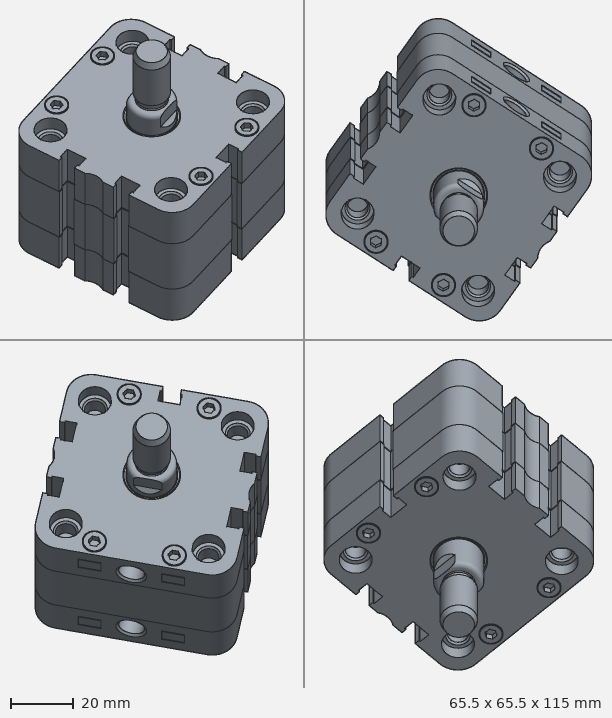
import cadquery as cq
import math


HOUSING_WIDTH = 65.5
CORNER_RADIUS = 8.0
BARREL_HEIGHT = 21.0
CAP_HEIGHT = 14.5
HALF_WIDTH = HOUSING_WIDTH / 2
CAP_BASE = BARREL_HEIGHT / 2
CAP_TOP = CAP_BASE + CAP_HEIGHT

SLOT_OFFSET = 10.5
SLOT_LIP = 1.7
CAP_SLOT_OPENING = 6.0
CAP_SLOT_WIDTH = 7.1
CAP_SLOT_DEPTH = 5.5
BARREL_SLOT_OPENING = 5.5
BARREL_SLOT_WIDTH = 6.8
BARREL_SLOT_DEPTH = 5.2
GROOVE_WIDTH = 6.9
GROOVE_DEPTH = 1.0

MOUNT_OFFSET = 23.2
MOUNT_BORE_DIA = 10.5
MOUNT_BORE_DEPTH = 5.1
MOUNT_CHAMFER_DIA = 7.9
MOUNT_HOLE_DIA = 6.7
MOUNT_HOLE_DEPTH = 11.5

SCREW_X = 27.8
SCREW_Y = 13.0
SCREW_RECESS_DIA = 7.7
SCREW_FACE_DIA = 7.1
HEX_FLATS = 3.5
HEX_DEPTH = 2.3

PORT_DROP = 8.0
PORT_MOUTH_DIA = 10.0
PORT_DIA = 8.5
PORT_DEPTH = 9.2
CHANNEL_DIA = 3.5
CHANNEL_SHIFT = 2.0
CHANNEL_LENGTH = 4.6

LABEL_OFFSET = 13.6
LABEL_DROP = 7.1
LABEL_WIDTH = 7.4
LABEL_HEIGHT = 4.8
LABEL_DEPTH = 0.2

ROD_DIA = 16.0
UPPER_ROD_REACH = 30.0
LOWER_ROD_REACH = 35.0
ROD_ROUND = 1.6
STUD_DIA = 12.0
NECK_DIA = 10.0
STUD_LENGTH = 22.0
NECK_LENGTH = 2.3
NECK_FLARE = 0.3
STUD_RUNOUT = 0.7
TIP_LENGTH = 2.4
FLAT_WIDTH = 13.0
FLAT_LENGTH = 5.3

OPENING_MOUTH_DIA = 18.4
OPENING_DIA = 17.7
CLEARANCE_DIA = 16.6
CLEARANCE_DEPTH = 0.7


def cone(large_dia, small_dia, centre, direction):
    """45-degree countersink that narrows along `direction`."""
    height = (large_dia - small_dia) / 2
    return cq.Solid.makeCone(large_dia / 2, small_dia / 2, height, cq.Vector(*centre), cq.Vector(*direction))


def cylinder(dia, length, centre, direction):
    return cq.Solid.makeCylinder(dia / 2, length, cq.Vector(*centre), cq.Vector(*direction))


def t_slot(opening, width, depth, base, height):
    """Cutter for a slot entering the +Y side at x = 0."""
    profile = [
        (-opening / 2, HALF_WIDTH),
        (-opening / 2, HALF_WIDTH - SLOT_LIP),
        (-width / 2, HALF_WIDTH - SLOT_LIP),
        (-width / 2, HALF_WIDTH - depth),
        (width / 2, HALF_WIDTH - depth),
        (width / 2, HALF_WIDTH - SLOT_LIP),
        (opening / 2, HALF_WIDTH - SLOT_LIP),
        (opening / 2, HALF_WIDTH),
    ]
    return cq.Workplane("XY", origin=(0, 0, base)).polyline(profile).close().extrude(height)


def finger_groove(base, height):
    """Cutter for the shallow round groove in the middle of the +Y side."""
    return (
        cq.Workplane("XY", origin=(0, 0, base))
        .moveTo(-GROOVE_WIDTH / 2, HALF_WIDTH)
        .threePointArc((0, HALF_WIDTH - GROOVE_DEPTH), (GROOVE_WIDTH / 2, HALF_WIDTH))
        .close()
        .extrude(height)
    )


def housing_block(base, height, slot_opening, slot_width, slot_depth):
    """Rounded square section with T-slots on +Y, -Y and +X, and the central bore for the rod."""
    block = (
        cq.Workplane("XY", origin=(0, 0, base))
        .rect(HOUSING_WIDTH, HOUSING_WIDTH)
        .extrude(height)
        .edges("|Z")
        .fillet(CORNER_RADIUS)
    )
    slot = t_slot(slot_opening, slot_width, slot_depth, base, height)
    side_cut = finger_groove(base, height)
    for offset in (-SLOT_OFFSET, SLOT_OFFSET):
        side_cut = side_cut.union(slot.translate((offset, 0, 0)))
    block = block.cut(side_cut).cut(side_cut.mirror("XZ"))
    block = block.cut(slot.rotate((0, 0, 0), (0, 0, 1), -90))
    return block.cut(cq.Workplane(cylinder(ROD_DIA, height, (0, 0, base), (0, 0, 1))))


def mounting_hole(x, y):
    """Blind counterbored hole with a countersunk edge."""
    down = (0, 0, -1)
    bore_floor = (x, y, CAP_TOP - MOUNT_BORE_DEPTH)
    hole = cylinder(MOUNT_BORE_DIA, MOUNT_BORE_DEPTH, (x, y, CAP_TOP), down)
    hole = hole.fuse(cone(MOUNT_CHAMFER_DIA, MOUNT_HOLE_DIA, bore_floor, down))
    return hole.fuse(cylinder(MOUNT_HOLE_DIA, MOUNT_HOLE_DEPTH, (x, y, CAP_TOP), down))


def screw_head(x, y):
    """Cutters for the bevelled ring around a flush screw head and for its hexagon socket."""
    face = cq.Workplane("XY", origin=(x, y, CAP_TOP))
    bevel = (SCREW_RECESS_DIA - SCREW_FACE_DIA) / 2
    head_top = cq.Solid.makeCone(
        SCREW_RECESS_DIA / 2, SCREW_FACE_DIA / 2, bevel, cq.Vector(x, y, CAP_TOP - bevel), cq.Vector(0, 0, 1)
    )
    ring = face.circle(SCREW_RECESS_DIA / 2).extrude(-bevel).cut(cq.Workplane(head_top))
    hex_corners_dia = HEX_FLATS / math.cos(math.pi / 6)
    socket = face.transformed(rotate=(0, 0, 90)).polygon(6, hex_corners_dia).extrude(-HEX_DEPTH)
    return ring.add(socket)


def air_port():
    """Blind port in the -X side with an offset channel in its floor."""
    inward = (1, 0, 0)
    port_z = CAP_TOP - PORT_DROP
    port = cylinder(PORT_DIA, PORT_DEPTH, (-HALF_WIDTH, 0, port_z), inward)
    port = port.fuse(cone(PORT_MOUTH_DIA, PORT_DIA, (-HALF_WIDTH, 0, port_z), inward))
    channel_start = (-HALF_WIDTH + PORT_DEPTH, 0, port_z - CHANNEL_SHIFT)
    return port.fuse(cylinder(CHANNEL_DIA, CHANNEL_LENGTH, channel_start, inward))


def label_panels():
    """Shallow rectangular recesses on both sides of the port."""
    return (
        cq.Workplane("YZ", origin=(-HALF_WIDTH, 0, CAP_TOP - LABEL_DROP))
        .pushPoints([(-LABEL_OFFSET, 0), (LABEL_OFFSET, 0)])
        .rect(LABEL_WIDTH, LABEL_HEIGHT)
        .extrude(LABEL_DEPTH)
    )


def rod_opening():
    """Countersunk mouth of the rod bore, with a narrow clearance ring in its floor."""
    face_centre = (0, 0, CAP_TOP)
    down = (0, 0, -1)
    mouth = cone(OPENING_MOUTH_DIA, OPENING_DIA, face_centre, down)
    return mouth.fuse(cylinder(CLEARANCE_DIA, CLEARANCE_DEPTH, face_centre, down))


def make_cap():
    """Upper cap; the lower one is its mirror image."""
    cap = housing_block(CAP_BASE, CAP_HEIGHT, CAP_SLOT_OPENING, CAP_SLOT_WIDTH, CAP_SLOT_DEPTH)
    for x_side in (-1, 1):
        for y_side in (-1, 1):
            cap = cap.cut(cq.Workplane(mounting_hole(x_side * MOUNT_OFFSET, y_side * MOUNT_OFFSET)))
            for cutter in screw_head(x_side * SCREW_X, y_side * SCREW_Y).vals():
                cap = cap.cut(cq.Workplane(cutter))
    cap = cap.cut(cq.Workplane(air_port()))
    cap = cap.cut(label_panels())
    return cap.cut(cq.Workplane(rod_opening()))


def make_rod(reach):
    """Upward rod from mid-height, with two wrench flats and a necked stud."""
    tip = CAP_TOP + reach
    shoulder = tip - STUD_LENGTH
    neck_end = shoulder + NECK_LENGTH
    rod = cq.Workplane("XY").circle(ROD_DIA / 2).extrude(shoulder).faces(">Z").edges().fillet(ROD_ROUND)

    flat_end = shoulder - FLAT_LENGTH
    flat_cut_depth = (ROD_DIA - FLAT_WIDTH) / 2
    flat_cutter = (
        cq.Workplane("XZ")
        .polyline(
            [
                (FLAT_WIDTH / 2, shoulder),
                (FLAT_WIDTH / 2, flat_end),
                (ROD_DIA / 2, flat_end - flat_cut_depth),
                (ROD_DIA / 2, shoulder),
            ]
        )
        .close()
        .extrude(ROD_DIA / 2, both=True)
    )
    rod = rod.cut(flat_cutter).cut(flat_cutter.mirror("YZ"))

    stud_profile = [
        (0, shoulder),
        (NECK_DIA / 2 + NECK_FLARE, shoulder),
        (NECK_DIA / 2, shoulder + NECK_FLARE),
        (NECK_DIA / 2, neck_end),
        (STUD_DIA / 2, neck_end + STUD_RUNOUT),
        (STUD_DIA / 2, tip - TIP_LENGTH),
        (NECK_DIA / 2, tip),
        (0, tip),
    ]
    stud = cq.Workplane("XZ").polyline(stud_profile).close().revolve(360, (0, 0, 0), (0, 1, 0))
    return rod.union(stud)


barrel = housing_block(-CAP_BASE, BARREL_HEIGHT, BARREL_SLOT_OPENING, BARREL_SLOT_WIDTH, BARREL_SLOT_DEPTH)
upper_cap = make_cap()
lower_cap = upper_cap.mirror("XY")
upper_rod = make_rod(UPPER_ROD_REACH)
lower_rod = make_rod(LOWER_ROD_REACH).mirror("XY")

result = cq.Compound.makeCompound(
    [barrel.val(), upper_cap.val(), lower_cap.val(), upper_rod.val(), lower_rod.val()]
)